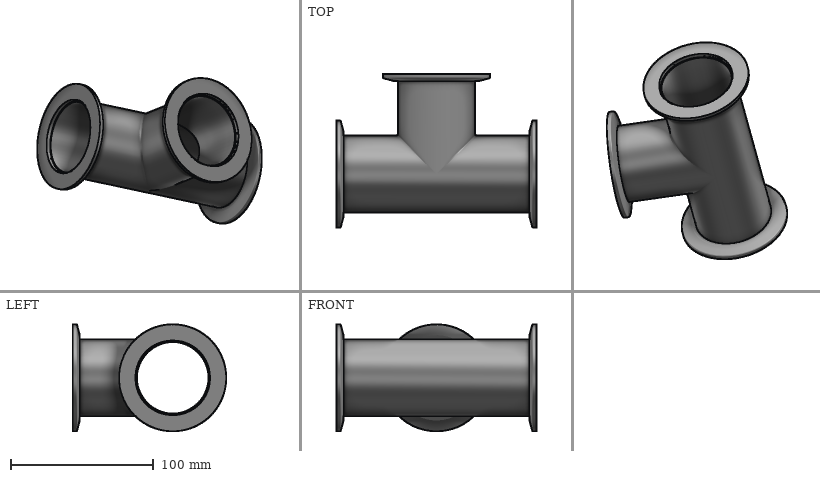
import cadquery as cq
import math


arm_length = 70.0
tube_diameter = 54.0
bore_diameter = 50.0
flange_diameter = 75.0
flange_thickness = 5.0
flange_taper_angle = 15.0
hub_diameter = 59.6
rim_round = 1.0
recess_diameter = 52.4
recess_depth = 2.8
recess_corner_round = 0.4
crotch_round = 1.3

tube_radius = tube_diameter / 2
bore_radius = bore_diameter / 2
flange_radius = flange_diameter / 2
hub_radius = hub_diameter / 2
recess_radius = recess_diameter / 2
tube_end = arm_length - recess_depth


def run_cylinder(radius):
    """Cylinder along X between the two recess floors."""
    return cq.Workplane("YZ").circle(radius).extrude(tube_end, both=True)


def branch_cylinder(radius):
    """Cylinder along +Y from the tee centre to the branch recess floor."""
    return cq.Workplane("XZ").circle(radius).extrude(-tube_end)


def make_tee():
    tee = run_cylinder(tube_radius).union(branch_cylinder(tube_radius))
    joint_box = cq.selectors.BoxSelector(
        (-tube_radius, 0, -tube_radius),
        (tube_radius, tube_radius, tube_radius),
    )
    tee = tee.edges(joint_box).fillet(crotch_round)
    return tee.cut(run_cylinder(bore_radius)).cut(branch_cylinder(bore_radius))


def make_flange(angle):
    """Flange on the +X end, turned about Z by the given angle in degrees."""
    taper = math.radians(flange_taper_angle)
    back_x = arm_length - flange_thickness
    face_x = arm_length

    round_center_r = flange_radius - rim_round
    taper_top_r = round_center_r + rim_round * math.sin(taper)
    taper_top_x = back_x + (taper_top_r - hub_radius) * math.tan(taper)
    round_center_x = taper_top_x + rim_round * math.cos(taper)
    mid_angle = (math.pi / 2 + taper) / 2
    round_middle = (
        round_center_x - rim_round * math.cos(mid_angle),
        round_center_r + rim_round * math.sin(mid_angle),
    )

    profile = (
        cq.Workplane("XY")
        .moveTo(back_x, tube_radius)
        .lineTo(back_x, hub_radius)
        .lineTo(taper_top_x, taper_top_r)
        .threePointArc(round_middle, (round_center_x, flange_radius))
        .lineTo(face_x, flange_radius)
        .lineTo(face_x, recess_radius)
        .lineTo(tube_end + recess_corner_round, recess_radius)
        .radiusArc((tube_end, recess_radius - recess_corner_round), -recess_corner_round)
        .lineTo(tube_end, tube_radius)
        .close()
    )
    flange = profile.revolve(360, (0, 0, 0), (1, 0, 0))
    return flange.rotate((0, 0, 0), (0, 0, 1), angle)


tee = make_tee()
flanges = [make_flange(angle) for angle in (0, 90, 180)]

result = cq.Compound.makeCompound([tee.val(), *[flange.val() for flange in flanges]])